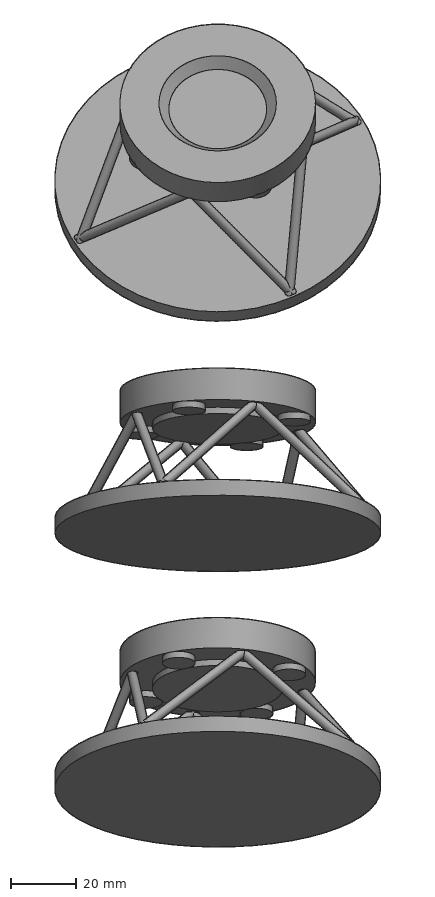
import cadquery as cq
import math

base_radius = 50
base_height = 5

head_radius = 30
head_height = 10
head_bottom = 35
head_top = head_bottom + head_height

recess_top_radius = 18
recess_depth = 3
recess_floor_radius = recess_top_radius - recess_depth

boss_radius = 20
pad_radius = 5
pad_circle_radius = head_radius - pad_radius
underside_height = 2

strut_radius = 1.5
strut_foot_radius = 47.2
strut_head_radius = 27.3
strut_embed = 2
pair_count = 4
pair_angle = 360 / pair_count


def disc(radius, bottom, height):
    return cq.Workplane("XY").workplane(offset=bottom).circle(radius).extrude(height)


def polar_point(radius, angle, height):
    direction = math.radians(angle)
    return cq.Vector(radius * math.cos(direction), radius * math.sin(direction), height)


def make_head():
    recess = (
        cq.Workplane("XY")
        .workplane(offset=head_top - recess_depth)
        .circle(recess_floor_radius)
        .workplane(offset=recess_depth)
        .circle(recess_top_radius)
        .loft()
    )
    return disc(head_radius, head_bottom, head_height).cut(recess)


def make_underside():
    bottom = head_bottom - underside_height
    pads = (
        cq.Workplane("XY")
        .workplane(offset=bottom)
        .polarArray(pad_circle_radius, 0, 360, pair_count)
        .circle(pad_radius)
        .extrude(underside_height)
    )
    return disc(boss_radius, bottom, underside_height).union(pads)


def make_strut(foot_angle, head_angle):
    foot = polar_point(strut_foot_radius, foot_angle, base_height)
    head = polar_point(strut_head_radius, head_angle, head_bottom)
    span = head - foot
    direction = span.normalized()
    start = foot - direction * strut_embed
    length = span.Length + 2 * strut_embed
    return cq.Workplane(cq.Solid.makeCylinder(strut_radius, length, start, direction))


result = disc(base_radius, 0, base_height)
result = result.union(make_head().union(make_underside()))
for pair in range(pair_count):
    foot_angle = pair * pair_angle
    for side in (-1, 1):
        result = result.union(make_strut(foot_angle, foot_angle + side * pair_angle / 2))